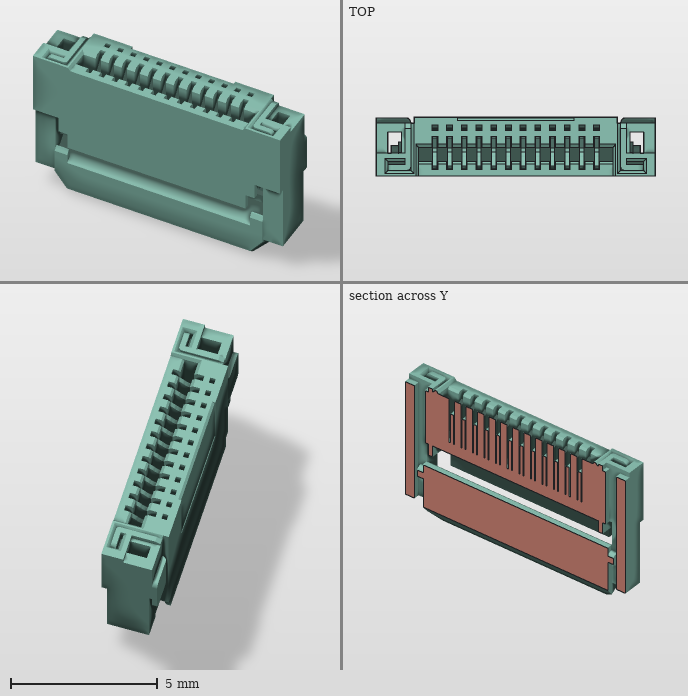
import cadquery as cq

LENGTH = 9.5
DEPTH = 2.0
HEIGHT = 5.79
HALF = LENGTH / 2

CORE_HALF = 3.46
END_INNER = 3.99
BLOCK_FRONT = 0.2
BLOCK_BACK = 1.805
BLOCK_BACK_LOW = 1.7
BLOCK_BACK_STEP_Z = -2.27
BLOCK_BOTTOM = -4.91
CAVITY_TOP = -2.39
CAVITY_BACK = 1.5
REAR_WALL_BOTTOM = -4.7

PLATE_STEP_HALF = 3.76
PLATE_STEP_Z = -2.99
PLATE_TONGUE_HALF = 3.42
PLATE_BOTTOM = -3.59

LIP_HALF = 3.23
LIP_SHOULDER_Z = -4.87
LIP_BOTTOM = -5.32
LIP_CHAMFER = 0.08

RELIEF_HALF = 1.98
RELIEF_FLAT = 0.03
RELIEF_TOP = 0.11

LEAD_IN = 0.11
MOUTH_HALF = 3.32
MOUTH_SIDE_FLARE = 0.09
MOUTH_BACK = 0.98
MOUTH_FRONT = 0.42
LEDGE_LEAD_IN = 0.08
MOUTH_DEPTH = 1.9

CONTACT_COUNT = 12
CONTACT_ROW = 5.5
CONTACT_PITCH = CONTACT_ROW / (CONTACT_COUNT - 1)
CONTACT_SLOT = 0.2
CONTACT_WIDTH = 0.15
SLOT_FRONT = 0.23
SLOT_BACK = 1.35
REAR_HOLE_FRONT = 1.56
REAR_HOLE_BACK = 1.75

RECESS_DEPTH = 0.2
RECESS_FRONT = 0.78
WINDOW_OUTER = 4.35
WINDOW_INNER = 3.895

NAIL_THICK = 0.19
NAIL_SIDE = 3.57
NAIL_LEG_END = 4.35
NAIL_LEG_FRONT = BLOCK_FRONT
NAIL_GAP_BACK = 0.49
NAIL_GAP_DEPTH = 0.475
NAIL_LEG_DEPTH = 1.9
NAIL_CORNER = 0.19
NAIL_BEVEL_LENGTH = 0.19
NAIL_BEVEL_DROP = 0.09
NAIL_END_FLARE = 0.095
FRONT_BEND = 0.11
REAR_BEND = 0.17
TAB_BACK = 1.99
TAB_TOP = -1.25
TAB_BOTTOM = -2.85

ACTUATOR_FRONT = 0.15
ACTUATOR_BACK = 1.17
NOSE_FRONT_Z = -5.58
CAM_TOP = -3.33
CAM_CREST_Y = 0.95
CAM_BACK_Z = -3.38
EAR_INNER = 3.51
EAR_TOP = -3.93
EAR_FRONT_Z = -4.08
EAR_BEVEL_Y = 0.26
EAR_BACK = 0.31
THUMB_EDGE_Z = -4.43
GROOVE_FOLD = (0.54, -4.05)
GROOVE_BOTTOM = (0.81, -3.77)
CORNER_FRONT_Z = -4.98
CORNER_RISE = 6.1
CORNER_RUN = 4.8
CORNER_DEPTH = 6.3
CORNER_DROP = 4.3
AXLE_END = 4.24
AXLE_RADIUS = 0.25
AXLE_Y = 0.8
AXLE_Z = -3.8


def box(x0, x1, y0, y1, z0, z1):
    """Box between opposite corners."""
    return cq.Workplane("XY").box(x1 - x0, y1 - y0, z1 - z0, centered=False).translate((x0, y0, z0))


def centred_box(half, y0, y1, z0, z1):
    """Box reaching equally to both sides of the middle plane."""
    return box(-half, half, y0, y1, z0, z1)


def prism(points, x0, x1):
    """Outline in Y and Z, extruded along X."""
    return cq.Workplane("YZ", origin=(x0, 0, 0)).polyline(points).close().extrude(x1 - x0)


def both_ends(shape):
    """Shape at the -X end together with its mirror image at the +X end."""
    return shape.union(shape.mirror("YZ"))


def funnel(x0, x1, y0, y1, widen_x0, widen_x1, widen_y):
    """Flared opening that widens from the rectangle at the lead-in depth up to the top face."""
    width = x1 - x0
    depth = y1 - y0
    top_width = width + widen_x0 + widen_x1
    shift = (widen_x1 - widen_x0) / 2
    return (
        cq.Workplane("XY", origin=((x0 + x1) / 2, (y0 + y1) / 2, -LEAD_IN))
        .rect(width, depth)
        .workplane(offset=LEAD_IN)
        .center(shift, 0)
        .rect(top_width, depth + 2 * widen_y)
        .loft(ruled=True)
    )


def end_block():
    """End block at -X with its top recess and through window."""
    block = box(-HALF, -END_INNER, BLOCK_FRONT, BLOCK_BACK, BLOCK_BOTTOM, 0)
    inner = box(-END_INNER, -CORE_HALF, BLOCK_FRONT, BLOCK_BACK, CAVITY_TOP, 0)
    face = box(-HALF, -CORE_HALF, 0, BLOCK_FRONT, CAVITY_TOP, 0)
    back_step = box(-HALF, -CORE_HALF, BLOCK_BACK_LOW, BLOCK_BACK, BLOCK_BOTTOM, BLOCK_BACK_STEP_Z)
    recess = box(-HALF, -PLATE_STEP_HALF, RECESS_FRONT, BLOCK_BACK, -RECESS_DEPTH, 0)
    rear = box(-END_INNER, -CORE_HALF, CAVITY_BACK, BLOCK_BACK, REAR_WALL_BOTTOM, CAVITY_TOP)
    window = box(-WINDOW_OUTER, -WINDOW_INNER, RECESS_FRONT, CAVITY_BACK, BLOCK_BOTTOM, 0)
    return block.union(inner).union(face).union(rear).cut(back_step).cut(recess).cut(window)


def middle_body():
    """Middle body, front plate with stepped lower edge, rear wall and lip."""
    body = centred_box(CORE_HALF, 0, DEPTH, CAVITY_TOP, 0)
    plate = centred_box(PLATE_STEP_HALF, 0, BLOCK_FRONT, PLATE_STEP_Z, CAVITY_TOP)
    tongue = centred_box(PLATE_TONGUE_HALF, 0, BLOCK_FRONT, PLATE_BOTTOM, PLATE_STEP_Z)
    rear_wall = centred_box(CORE_HALF, CAVITY_BACK, DEPTH, REAR_WALL_BOTTOM, CAVITY_TOP)
    shoulder = centred_box(LIP_HALF, CAVITY_BACK, DEPTH, LIP_SHOULDER_Z, REAR_WALL_BOTTOM)
    lip = centred_box(LIP_HALF, BLOCK_BACK, DEPTH, LIP_BOTTOM, LIP_SHOULDER_Z)
    lip = lip.edges("<Y and <Z").chamfer(LIP_CHAMFER)
    return body.union(plate).union(tongue).union(rear_wall).union(shoulder).union(lip)


def rear_relief():
    """Shallow relief in the rear face, bevelled along the top edge."""
    flat = DEPTH - RELIEF_FLAT
    outline = [
        (DEPTH - RELIEF_TOP, 0),
        (flat, RELIEF_FLAT - RELIEF_TOP),
        (flat, CAVITY_TOP),
        (DEPTH, CAVITY_TOP),
        (DEPTH, 0),
    ]
    return prism(outline, -RELIEF_HALF, RELIEF_HALF)


def cable_mouth():
    """Mouth behind the lowered front ledge, with lead-in bevels on the ledge, sides and back."""
    ledge_back = MOUTH_FRONT + LEDGE_LEAD_IN
    well = [
        (MOUTH_FRONT, -LEAD_IN),
        (ledge_back, -LEAD_IN - LEDGE_LEAD_IN),
        (ledge_back, -MOUTH_DEPTH),
        (MOUTH_BACK, -MOUTH_DEPTH),
        (MOUTH_BACK, -LEAD_IN),
    ]
    entry = (
        cq.Workplane("XZ")
        .polyline([
            (-MOUTH_HALF, -LEAD_IN),
            (MOUTH_HALF, -LEAD_IN),
            (MOUTH_HALF + MOUTH_SIDE_FLARE, 0),
            (-MOUTH_HALF - MOUTH_SIDE_FLARE, 0),
        ])
        .close()
        .extrude(-MOUTH_BACK - LEAD_IN)
    )
    back_bevel = prism(
        [(MOUTH_BACK, -LEAD_IN), (MOUTH_BACK + LEAD_IN, -LEAD_IN), (MOUTH_BACK + LEAD_IN, 0)],
        -HALF,
        HALF,
    )
    return entry.cut(back_bevel).union(prism(well, -MOUTH_HALF, MOUTH_HALF))


def along_contact_row(outline, width):
    """Outline in Y and Z, extruded to the given width at every contact position."""
    row = cq.Workplane("XY")
    for index in range(CONTACT_COUNT):
        left = -CONTACT_ROW / 2 + index * CONTACT_PITCH - width / 2
        row = row.add(prism(outline, left, left + width))
    return row.combine()


def contact_slots():
    """Row of front slots down to the mouth floor."""
    slot = [(SLOT_FRONT, 0), (SLOT_FRONT, -MOUTH_DEPTH), (SLOT_BACK, -MOUTH_DEPTH), (SLOT_BACK, 0)]
    return along_contact_row(slot, CONTACT_SLOT)


def rear_holes():
    """Row of rear holes, each with a ridge in its floor."""
    hole = [
        (REAR_HOLE_FRONT, 0),
        (REAR_HOLE_FRONT, -0.57),
        (1.63, -0.43),
        (REAR_HOLE_BACK, -0.57),
        (REAR_HOLE_BACK, 0),
    ]
    return along_contact_row(hole, CONTACT_SLOT)


def contacts():
    """Row of forked contacts: front beam, seat for the cable and rear beam."""
    fork = [
        (SLOT_FRONT, -MOUTH_DEPTH),
        (SLOT_FRONT, -0.61),
        (0.35, -0.46),
        (0.43, -0.49),
        (0.64, -0.63),
        (0.69, -0.68),
        (0.82, -0.75),
        (0.96, -0.75),
        (1.29, -0.32),
        (SLOT_BACK, -0.38),
        (SLOT_BACK, -MOUTH_DEPTH),
    ]
    return along_contact_row(fork, CONTACT_WIDTH)


def nail_slot():
    """Flared U slot at -X that the solder nail is pushed into."""
    side_back = BLOCK_BACK + LEAD_IN
    flare = funnel(
        -NAIL_LEG_END, -NAIL_SIDE, NAIL_LEG_FRONT, NAIL_GAP_BACK, NAIL_END_FLARE, LEAD_IN, LEAD_IN
    )
    side_outline = [
        (-PLATE_STEP_HALF, 0),
        (-PLATE_STEP_HALF, -LEAD_IN),
        (-NAIL_SIDE, -LEAD_IN),
        (-CORE_HALF, 0),
    ]
    side = (
        cq.Workplane("XZ", origin=(0, NAIL_LEG_FRONT, 0))
        .polyline(side_outline)
        .close()
        .extrude(NAIL_LEG_FRONT - side_back)
    )
    gap = box(-NAIL_LEG_END, -PLATE_STEP_HALF, NAIL_LEG_FRONT, NAIL_GAP_BACK, -NAIL_GAP_DEPTH, 0)
    return flare.union(side).union(gap)


def nail():
    """Solder nail at -X: front leg, side arm and the rear tab bent outwards."""
    arm_outer = -NAIL_SIDE - NAIL_THICK
    leg_back = NAIL_LEG_FRONT + NAIL_THICK
    leg = box(-NAIL_LEG_END, -NAIL_SIDE, NAIL_LEG_FRONT, leg_back, -NAIL_LEG_DEPTH, 0)
    leg = leg.edges("<X and >Z").fillet(NAIL_CORNER)
    leg = leg.edges("|Z and >X and <Y").fillet(FRONT_BEND)
    arm_front = NAIL_LEG_FRONT + FRONT_BEND
    arm = prism(
        [
            (arm_front, TAB_BOTTOM),
            (arm_front, 0),
            (BLOCK_BACK - NAIL_BEVEL_LENGTH, 0),
            (BLOCK_BACK, -NAIL_BEVEL_DROP),
            (BLOCK_BACK, TAB_BOTTOM),
        ],
        arm_outer,
        -NAIL_SIDE,
    )
    tab = box(-HALF, -NAIL_SIDE, BLOCK_BACK, TAB_BACK, TAB_BOTTOM, TAB_TOP)
    tab = tab.edges("|Z and >X and >Y").fillet(REAR_BEND)
    tab = tab.edges("|Y and <X").fillet(NAIL_CORNER)
    return leg.union(arm).union(tab)


def corner_bevel():
    """Block that cuts the lower -X corner of the actuator along a slanted plane."""
    across = cq.Vector(CORNER_RUN, 0, -CORNER_RISE)
    back = cq.Vector(0, CORNER_DEPTH, -CORNER_DROP)
    plane = cq.Plane(
        origin=(-END_INNER, ACTUATOR_FRONT, CORNER_FRONT_Z), xDir=across, normal=back.cross(across)
    )
    return cq.Workplane(plane).rect(HEIGHT, HEIGHT).extrude(HEIGHT)


def actuator():
    """Locking lever with a rounded cam on top, front ears, bevelled corners and axle stubs."""
    profile = (
        cq.Workplane("YZ", origin=(-END_INNER, 0, 0))
        .moveTo(ACTUATOR_FRONT, NOSE_FRONT_Z)
        .lineTo(ACTUATOR_FRONT, THUMB_EDGE_Z)
        .lineTo(*GROOVE_FOLD)
        .lineTo(*GROOVE_BOTTOM)
        .lineTo(0.56, -3.6)
        .lineTo(0.68, -3.42)
        .lineTo(0.81, CAM_TOP)
        .lineTo(CAM_CREST_Y, CAM_TOP)
        .tangentArcPoint((ACTUATOR_BACK, CAM_BACK_Z), relative=False)
        .lineTo(ACTUATOR_BACK, BLOCK_BOTTOM)
        .lineTo(0.475, -HEIGHT)
        .lineTo(0.39, -HEIGHT)
        .close()
    )
    ear = [
        (ACTUATOR_FRONT, THUMB_EDGE_Z),
        (ACTUATOR_FRONT, EAR_FRONT_Z),
        (EAR_BEVEL_Y, EAR_TOP),
        (EAR_BACK, EAR_TOP),
        (EAR_BACK, THUMB_EDGE_Z),
    ]
    lever = profile.extrude(2 * END_INNER)
    lever = lever.union(both_ends(prism(ear, -END_INNER, -EAR_INNER)))
    axle = (
        cq.Workplane("YZ", origin=(-AXLE_END, 0, 0))
        .center(AXLE_Y, AXLE_Z)
        .circle(AXLE_RADIUS)
        .extrude(2 * AXLE_END)
    )
    axle = axle.intersect(both_ends(box(-AXLE_END, -END_INNER, 0, DEPTH, -HEIGHT, 0)))
    return lever.cut(both_ends(corner_bevel())).union(axle)


housing = middle_body().union(both_ends(end_block()))
housing = housing.cut(rear_relief()).cut(cable_mouth()).cut(contact_slots())
housing = housing.cut(rear_holes()).union(contacts())
housing = housing.cut(both_ends(nail_slot())).union(both_ends(nail()))
result = housing.union(actuator())